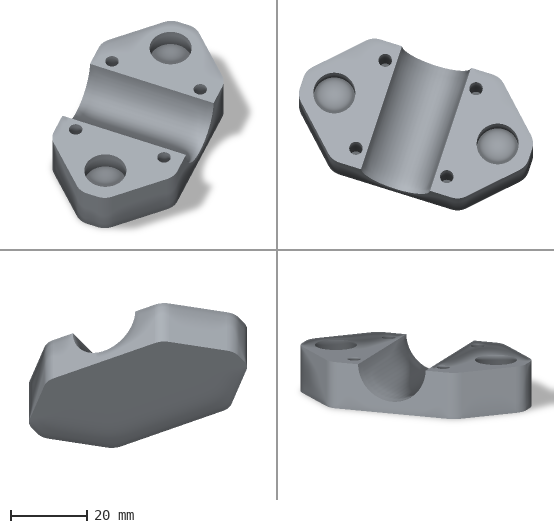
import cadquery as cq

width = 35.0
length = 63.0
height = 12.5
corner_cut = 14.0
corner_radius = 5.0

saddle_radius = 9.5
saddle_depth = 9.25

end_hole_diameter = 11.0
end_hole_depth = 5.0
end_hole_offset = 22.5

small_hole_diameter = 3.5
small_hole_depth = 10.0
small_hole_spacing = 25.0


def make_block():
    """Rectangular block with 45 degree corner cuts and rounded vertical edges."""
    return (
        cq.Workplane("XY")
        .box(width, length, height, centered=(True, True, False))
        .edges("|Z")
        .chamfer(corner_cut)
        .edges("|Z")
        .fillet(corner_radius)
    )


def make_saddle():
    """Cylinder that cuts the saddle through the full width."""
    axis_height = height - saddle_depth + saddle_radius
    return (
        cq.Workplane("YZ")
        .center(0, axis_height)
        .circle(saddle_radius)
        .extrude(width / 2, both=True)
    )


def make_end_holes():
    return (
        cq.Workplane("XY", origin=(0, 0, height))
        .pushPoints([(0, -end_hole_offset), (0, end_hole_offset)])
        .circle(end_hole_diameter / 2)
        .extrude(-end_hole_depth)
    )


def make_small_holes():
    return (
        cq.Workplane("XY", origin=(0, 0, height))
        .rarray(small_hole_spacing, small_hole_spacing, 2, 2)
        .circle(small_hole_diameter / 2)
        .extrude(-small_hole_depth)
    )


result = make_block().cut(make_saddle()).cut(make_end_holes()).cut(make_small_holes())